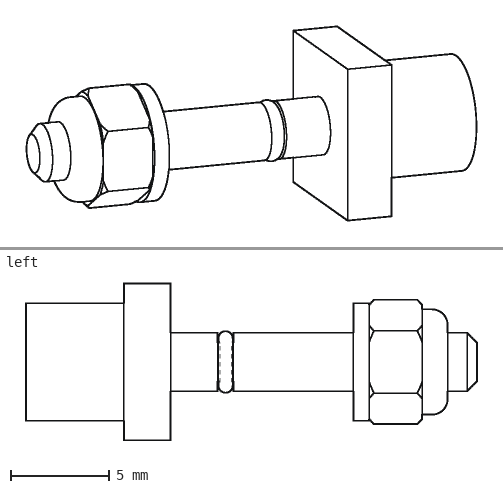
import cadquery as cq
import math

total_length = 23.0

body_diameter = 6.0
body_length = 5.0
plate_side = 8.0
plate_thickness = 2.4

shaft_diameter = 3.0
tip_chamfer = 0.5

groove_width = 0.8
groove_depth = 0.5
groove_offset = 2.4
ring_diameter = 3.15
ring_section_diameter = 0.74

washer_diameter = 6.0
washer_thickness = 0.8
nut_across_flats = 5.5
nut_height = 2.7
nut_chamfer_diameter = 5.86
collar_diameter = 5.38
collar_height = 1.3
collar_round = 0.8
tip_protrusion = 1.5

plate_back = total_length - body_length
plate_front = plate_back - plate_thickness
groove_front = plate_front - groove_offset - groove_width
collar_front = tip_protrusion
nut_front = collar_front + collar_height
nut_back = nut_front + nut_height


def facing_plane(y):
    """Plane at the given Y whose normal points toward +Y, with local y along Z."""
    return cq.Workplane(cq.Plane(origin=(0, y, 0), xDir=(-1, 0, 0), normal=(0, 1, 0)))


def cylinder(y, diameter, length):
    return facing_plane(y).circle(diameter / 2).extrude(length)


def make_shaft():
    shaft = cylinder(0, shaft_diameter, plate_front).faces("<Y").chamfer(tip_chamfer)
    groove = cylinder(groove_front, shaft_diameter, groove_width).cut(
        cylinder(groove_front, shaft_diameter - 2 * groove_depth, groove_width)
    )
    return shaft.cut(groove)


def make_ring():
    section_radius = ring_section_diameter / 2
    ring_center_radius = ring_diameter / 2 - section_radius
    ring = cq.Solid.makeTorus(
        ring_center_radius,
        section_radius,
        cq.Vector(0, groove_front + groove_width / 2, 0),
        cq.Vector(0, 1, 0),
    )
    return cq.Workplane(ring)


def make_hex():
    """Hexagon with corners on Z, its corners trimmed by a 45 degree cone at both ends."""
    across_corners = nut_across_flats / math.cos(math.pi / 6)
    chamfer = (across_corners - nut_chamfer_diameter) / 2
    hexagon = (
        facing_plane(nut_front)
        .transformed(rotate=(0, 0, 90))
        .polygon(6, across_corners)
        .extrude(nut_height)
    )
    envelope = cylinder(nut_front, across_corners, nut_height).faces("<Y or >Y").chamfer(chamfer)
    return hexagon.intersect(envelope)


def make_collar():
    collar = cylinder(collar_front, collar_diameter, collar_height)
    return collar.faces("<Y").edges().fillet(collar_round)


body = cylinder(plate_back, body_diameter, body_length)
plate = facing_plane(plate_front).rect(plate_side, plate_side).extrude(plate_thickness)
washer = cylinder(nut_back, washer_diameter, washer_thickness)

result = (
    make_shaft()
    .union(make_ring())
    .union(plate)
    .union(body)
    .union(washer)
    .union(make_hex())
    .union(make_collar())
)